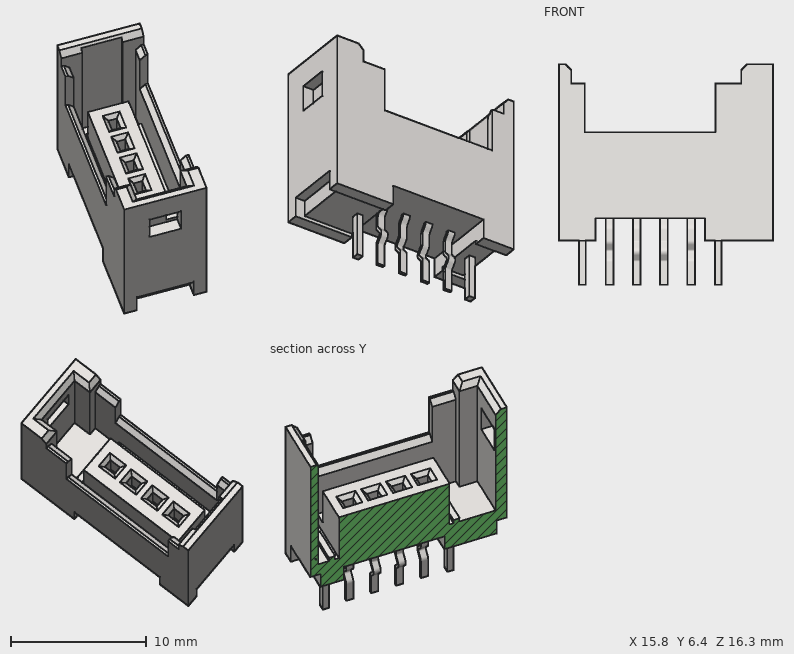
import cadquery as cq
import math


LENGTH = 15.8
WIDTH = 6.4
HEIGHT = 16.29
FOOT_Z = 3.27
SIDE_WALL = 0.64
LEFT_WALL = 0.93
EDGE_CHAMFER = 0.44
STEP_Z = HEIGHT - 1.42
SILL_Z = HEIGHT - 5.02
SILL_START = 1.92
SILL_END = 11.53
COLUMN_X = 13.44

FLOOR_Z = 6.03
LEDGE_Z = 7.0
BLOCK_TOP = 10.21
BLOCK_WIDTH = 3.16
BLOCK_LENGTH = 8.91
KEY_WIDTH = 3.88
KEY_END = 14.89
LATCH_GROOVE_WIDTH = 3.13
LATCH_GROOVE_DEPTH = 0.26
WINDOW_WIDTH = 2.45
WINDOW_BOTTOM = 12.02
WINDOW_TOP = 14.19

PIN_COUNT = 4
PIN_PITCH = 2.0
ROW_CENTER = 6.75
PIN_XS = [ROW_CENTER + (i - (PIN_COUNT - 1) / 2) * PIN_PITCH for i in range(PIN_COUNT)]
PIN_WIDTH = 0.59
PIN_THICKNESS = 0.25

SOCKET_LENGTH = 0.9
SOCKET_WIDTH = 0.67
SOCKET_DEPTH = 2.45
SOCKET_FLARE = 0.33

BEND_ANGLE = 40.0
KINK_Z = 2.5
KINK_SLOPE = 0.36
KINK_RADIUS = 0.33
ROOT_Z = 4.09
ROOT_SLOPE = 0.2
ROOT_RADIUS = 0.55
ROOT_LENGTH = 0.33

LOCATOR_OFFSET = (PIN_COUNT + 1) / 2 * PIN_PITCH
LOCATOR_XS = [ROW_CENTER - LOCATOR_OFFSET, ROW_CENTER + LOCATOR_OFFSET]
LOCATOR_THICKNESS = 0.5
LOCATOR_WIDTH = 0.59
PLATE_WIDTH = 2.8
PLATE_HEIGHT = 0.33

NOTCH_Z = 4.9
NOTCH_LENGTH = 8.06
FOOT_WIDTH = 1.0
BRIDGE_Z = 3.58
END_RECESS = 0.8


def box(x0, x1, width, z0, z1):
    """Box from x0 to x1 and z0 to z1, centred on the row in Y."""
    return cq.Workplane("XY").box(
        x1 - x0, width, z1 - z0, centered=(False, True, False)
    ).translate((x0, 0, z0))


def tapered_box(x0, x1, width, top, flare):
    """45 degree funnel that ends in the given rectangle and widens up to top."""
    return (
        cq.Workplane("XY", origin=((x0 + x1) / 2, 0, top - flare))
        .rect(x1 - x0, width)
        .workplane(offset=flare)
        .rect(x1 - x0 + 2 * flare, width + 2 * flare)
        .loft(ruled=True)
    )


def make_shell():
    """Outer block with the stepped opening cut through both long walls."""
    profile = [
        (0, FOOT_Z),
        (LENGTH, FOOT_Z),
        (LENGTH, HEIGHT),
        (COLUMN_X + EDGE_CHAMFER, HEIGHT),
        (COLUMN_X, HEIGHT - EDGE_CHAMFER),
        (COLUMN_X, STEP_Z),
        (SILL_END, STEP_Z),
        (SILL_END, SILL_Z),
        (SILL_START, SILL_Z),
        (SILL_START, STEP_Z),
        (LEFT_WALL, STEP_Z),
        (LEFT_WALL, HEIGHT - EDGE_CHAMFER),
        (LEFT_WALL - EDGE_CHAMFER, HEIGHT),
        (0, HEIGHT),
    ]
    return cq.Workplane("XZ").polyline(profile).close().extrude(WIDTH / 2, both=True)


def cut_wall_chamfer(shell, x0, x1, top):
    """Bevel the inner top edges of both long walls between x0 and x1."""
    inner = WIDTH / 2 - SIDE_WALL
    bevel = [
        (-inner, top - EDGE_CHAMFER),
        (inner, top - EDGE_CHAMFER),
        (inner + EDGE_CHAMFER, top),
        (-inner - EDGE_CHAMFER, top),
    ]
    return shell.cut(
        cq.Workplane("YZ", origin=(x0, 0, 0)).polyline(bevel).close().extrude(x1 - x0)
    )


def cut_cavity(shell):
    """Main cavity, keyway, latch groove and the window in the right wall."""
    shell = shell.cut(box(LEFT_WALL, COLUMN_X, WIDTH - 2 * SIDE_WALL, FLOOR_Z, HEIGHT))
    shell = cut_wall_chamfer(shell, LEFT_WALL, SILL_START, STEP_Z)
    shell = cut_wall_chamfer(shell, SILL_START, SILL_END, SILL_Z)
    shell = cut_wall_chamfer(shell, SILL_END, COLUMN_X, STEP_Z)
    key_start = COLUMN_X - EDGE_CHAMFER
    shell = shell.cut(box(key_start, KEY_END, KEY_WIDTH, FLOOR_Z, HEIGHT))
    shell = shell.cut(tapered_box(key_start, KEY_END, KEY_WIDTH, HEIGHT, EDGE_CHAMFER))
    groove_x = LEFT_WALL - LATCH_GROOVE_DEPTH
    shell = shell.cut(box(groove_x, LEFT_WALL, LATCH_GROOVE_WIDTH, FLOOR_Z, HEIGHT))
    return shell.cut(box(KEY_END, LENGTH, WINDOW_WIDTH, WINDOW_BOTTOM, WINDOW_TOP))


def add_socket_block(shell):
    """Raised block between two ledges, with a funnel-mouthed socket over each pin."""
    x0 = ROW_CENTER - BLOCK_LENGTH / 2
    x1 = ROW_CENTER + BLOCK_LENGTH / 2
    shell = shell.union(box(x0, x1, WIDTH - 2 * SIDE_WALL, FLOOR_Z, LEDGE_Z))
    shell = shell.union(box(x0, x1, BLOCK_WIDTH, FLOOR_Z, BLOCK_TOP))
    for x in PIN_XS:
        left = x - SOCKET_LENGTH / 2
        right = x + SOCKET_LENGTH / 2
        shell = shell.cut(box(left, right, SOCKET_WIDTH, BLOCK_TOP - SOCKET_DEPTH, BLOCK_TOP))
        shell = shell.cut(tapered_box(left, right, SOCKET_WIDTH, BLOCK_TOP, SOCKET_FLARE))
    return shell


def cut_underside(shell):
    """Opening around the pins, and the slots that leave feet and bridges."""
    slot_width = WIDTH - 2 * FOOT_WIDTH
    notch_start = ROW_CENTER - NOTCH_LENGTH / 2
    notch_end = ROW_CENTER + NOTCH_LENGTH / 2
    shell = shell.cut(box(notch_start, notch_end, WIDTH, FOOT_Z, NOTCH_Z))
    shell = shell.cut(box(0, LENGTH, slot_width, FOOT_Z, BRIDGE_Z))
    shell = shell.cut(box(0, END_RECESS, slot_width, FOOT_Z, NOTCH_Z))
    return shell.cut(box(LENGTH - END_RECESS, LENGTH, slot_width, FOOT_Z, NOTCH_Z))


def s_bend(path, y, z, side, radius, slope):
    """Step the path sideways by two opposite bends; return the new (y, z)."""
    angle = math.radians(BEND_ANGLE)
    reach = radius * (1 - math.cos(angle))
    rise = radius * math.sin(angle)
    mid_reach = radius * (1 - math.cos(angle / 2))
    mid_rise = radius * math.sin(angle / 2)
    shift = 2 * reach + slope * math.tan(angle)
    height = 2 * rise + slope
    path = path.threePointArc((y + side * mid_reach, z + mid_rise), (y + side * reach, z + rise))
    path = path.lineTo(y + side * (shift - reach), z + rise + slope)
    path = path.threePointArc(
        (y + side * (shift - mid_reach), z + height - mid_rise),
        (y + side * shift, z + height),
    )
    return path, y + side * shift, z + height


def contact_pin(x, side):
    """Flat pin kinked toward side (+1 or -1 in Y), bent toward +Y at its root."""
    half_kink = 2 * KINK_RADIUS * math.sin(math.radians(BEND_ANGLE)) + KINK_SLOPE
    path = cq.Workplane("YZ", origin=(x, 0, 0)).moveTo(0, 0).lineTo(0, KINK_Z - half_kink)
    path, y, z = s_bend(path, 0, KINK_Z - half_kink, side, KINK_RADIUS, KINK_SLOPE)
    path, y, z = s_bend(path, y, z, -side, KINK_RADIUS, KINK_SLOPE)
    path = path.lineTo(0, ROOT_Z)
    path, y, z = s_bend(path, 0, ROOT_Z, 1, ROOT_RADIUS, ROOT_SLOPE)
    path = path.lineTo(y, z + ROOT_LENGTH)
    return cq.Workplane("XY", origin=(x, 0, 0)).rect(PIN_WIDTH, PIN_THICKNESS).sweep(path)


def locating_pin(x):
    """Straight pin under a wider plate that shows in the cavity floor."""
    x0 = x - LOCATOR_THICKNESS / 2
    x1 = x + LOCATOR_THICKNESS / 2
    pin = box(x0, x1, LOCATOR_WIDTH, 0, FLOOR_Z)
    return pin.union(box(x0, x1, PLATE_WIDTH, NOTCH_Z, FLOOR_Z + PLATE_HEIGHT))


result = cut_underside(add_socket_block(cut_cavity(make_shell())))

for pin_index, pin_x in enumerate(PIN_XS):
    outermost = pin_index in (0, PIN_COUNT - 1)
    result = result.union(contact_pin(pin_x, 1 if outermost else -1))

for locator_x in LOCATOR_XS:
    result = result.union(locating_pin(locator_x))